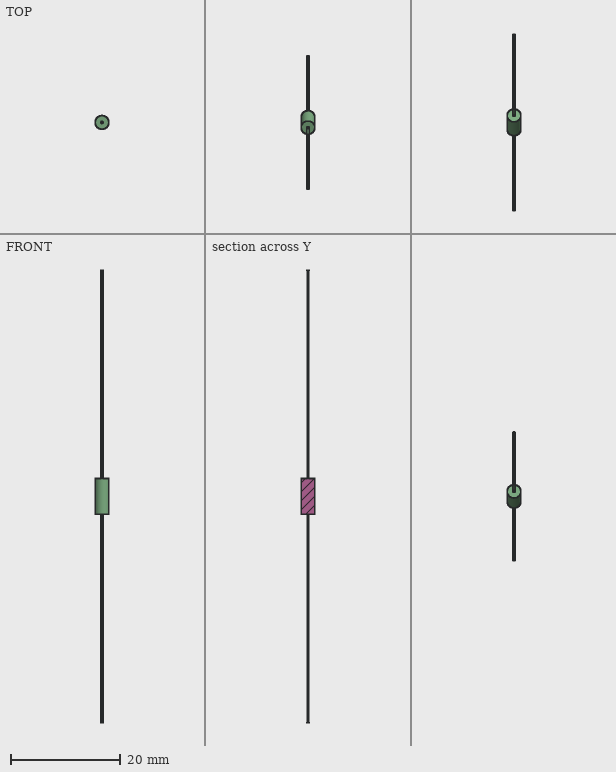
import cadquery as cq

overall_length = 82.8
body_diameter = 2.54
body_length = 6.6
lead_diameter = 0.4


def centred_cylinder(diameter, length):
    """Cylinder along Z, centred on the origin."""
    return cq.Workplane("XY").cylinder(length, diameter / 2)


body = centred_cylinder(body_diameter, body_length)

leads = centred_cylinder(lead_diameter, overall_length)

result = body.union(leads)